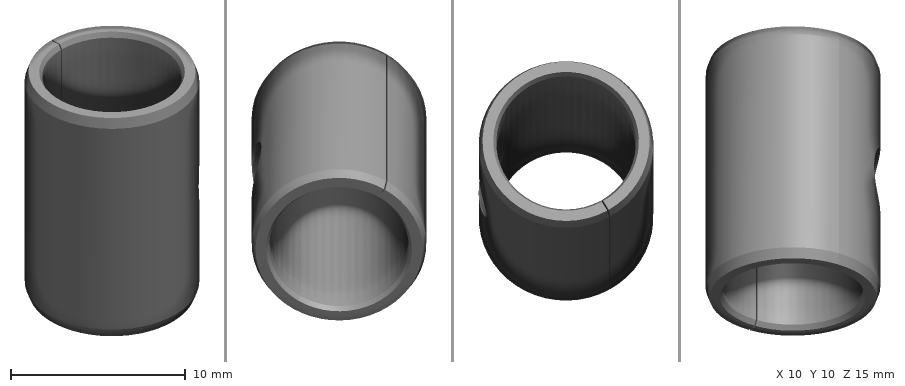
import cadquery as cq
import math

length = 15.0
outer_diameter = 10.0
bore_diameter = 8.0
outer_chamfer_height = 0.6
outer_chamfer_angle = 20.0
bore_chamfer_height = 0.3
bore_chamfer_angle = 30.0
slit_width = 0.09

side_hole_diameter = 4.0
side_hole_direction = 60.0

outer_radius = outer_diameter / 2
bore_radius = bore_diameter / 2


def chamfer_depth(height, angle):
    """Radial depth of a chamfer from its height and its angle to the axis."""
    return height * math.tan(math.radians(angle))


def make_sleeve():
    """Revolve the wall section, with chamfers at both ends inside and outside."""
    end_outer_radius = outer_radius - chamfer_depth(outer_chamfer_height, outer_chamfer_angle)
    end_bore_radius = bore_radius + chamfer_depth(bore_chamfer_height, bore_chamfer_angle)
    wall_section = [
        (end_bore_radius, 0),
        (end_outer_radius, 0),
        (outer_radius, outer_chamfer_height),
        (outer_radius, length - outer_chamfer_height),
        (end_outer_radius, length),
        (end_bore_radius, length),
        (bore_radius, length - bore_chamfer_height),
        (bore_radius, bore_chamfer_height),
    ]
    return cq.Workplane("XZ").polyline(wall_section).close().revolve(360, (0, 0), (0, 1))


def make_slit():
    """Full-length cutter that opens the wall on the -X side, just on the +Y side of the XZ plane."""
    cutter = cq.Workplane("XY").box(outer_diameter, slit_width, length, centered=(True, False, False))
    return cutter.translate((-outer_radius, 0, 0))


def make_side_hole():
    """Cylinder from the bushing axis outwards through one side of the wall."""
    mid_plane = cq.Workplane("YZ", origin=(0, 0, length / 2))
    cutter = mid_plane.circle(side_hole_diameter / 2).extrude(outer_diameter)
    return cutter.rotate((0, 0, 0), (0, 0, 1), side_hole_direction)


result = make_sleeve().cut(make_slit()).cut(make_side_hole())